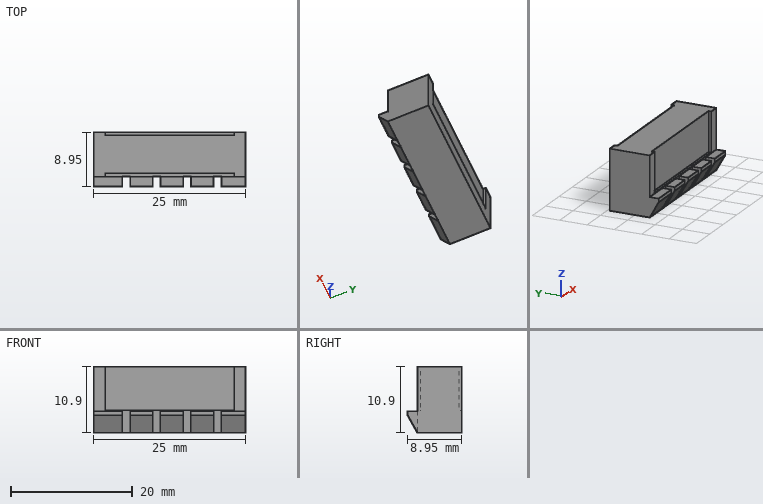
import cadquery as cq

length = 25.0
overall_depth = 8.95
height = 10.9

block_depth = 7.3

recess_margin = 1.9
recess_depth = 0.5
recess_floor = 3.7

tooth_reach = overall_depth - block_depth
tooth_top = 3.6
tooth_lip_bottom = 2.95

gap_count = 4
gap_pitch = 5.0
gap_width = 1.25
first_gap_start = 4.75


def make_block():
    return cq.Workplane("XY").box(length, block_depth, height, centered=False)


def make_recess(y_start):
    """Cutter for one face recess, running from the recess floor up through the top."""
    return (
        cq.Workplane("XY")
        .box(length - 2 * recess_margin, recess_depth, height - recess_floor, centered=False)
        .translate((recess_margin, y_start, recess_floor))
    )


def make_tooth(x_start, width):
    """Tooth with a flat top, a short upright lip and a slope back to the bottom edge."""
    return (
        cq.Workplane("YZ", origin=(x_start, 0, 0))
        .moveTo(0, 0)
        .lineTo(-tooth_reach, tooth_lip_bottom)
        .lineTo(-tooth_reach, tooth_top)
        .lineTo(0, tooth_top)
        .close()
        .extrude(width)
    )


result = make_block()

for recess_start in (0, block_depth - recess_depth):
    result = result.cut(make_recess(recess_start))

gap_starts = [first_gap_start + i * gap_pitch for i in range(gap_count)]
tooth_starts = [0] + [start + gap_width for start in gap_starts]
tooth_ends = gap_starts + [length]
for tooth_start, tooth_end in zip(tooth_starts, tooth_ends):
    result = result.union(make_tooth(tooth_start, tooth_end - tooth_start))